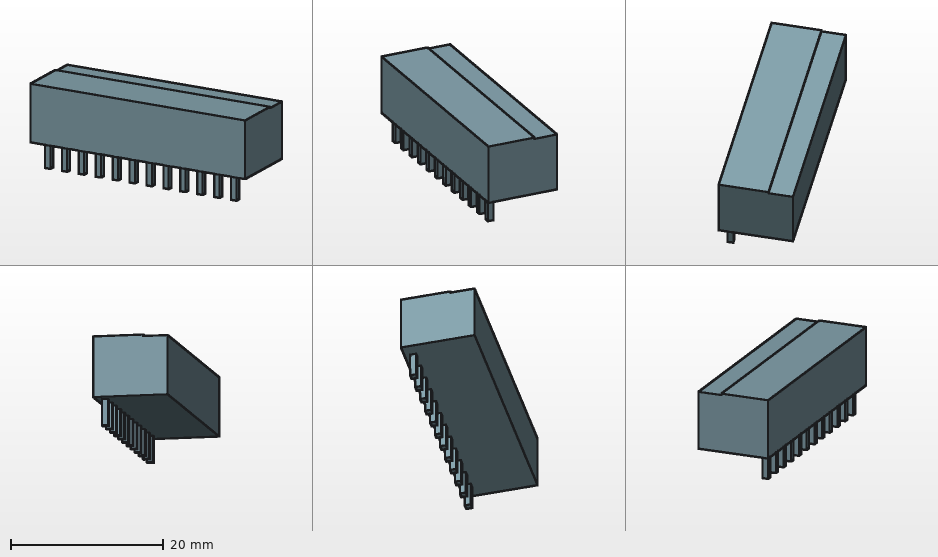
import cadquery as cq

length = 32.28
depth = 10.0
total_height = 11.6
pin_length = 3.5
body_height = total_height - pin_length

step_width = 3.3
step_drop = 0.2

pin_count = 12
pin_row_span = 27.95
pin_pitch = pin_row_span / (pin_count - 1)
pin_size = 0.8
pin_front_offset = 1.2


def housing():
    """Block with its rear top edge lowered, extruded along X."""
    step_y = depth - step_width
    rear_height = body_height - step_drop
    profile = [
        (0, 0),
        (depth, 0),
        (depth, rear_height),
        (step_y, rear_height),
        (step_y, body_height),
        (0, body_height),
    ]
    return cq.Workplane("YZ").polyline(profile).close().extrude(length)


def pin_row():
    """Evenly spaced pins, centred along the length, hanging below the housing."""
    return (
        cq.Workplane("XY")
        .center(length / 2, pin_front_offset)
        .rarray(pin_pitch, 0.32, pin_count, 1)
        .rect(pin_size, pin_size)
        .extrude(-pin_length)
    )


result = housing().union(pin_row())